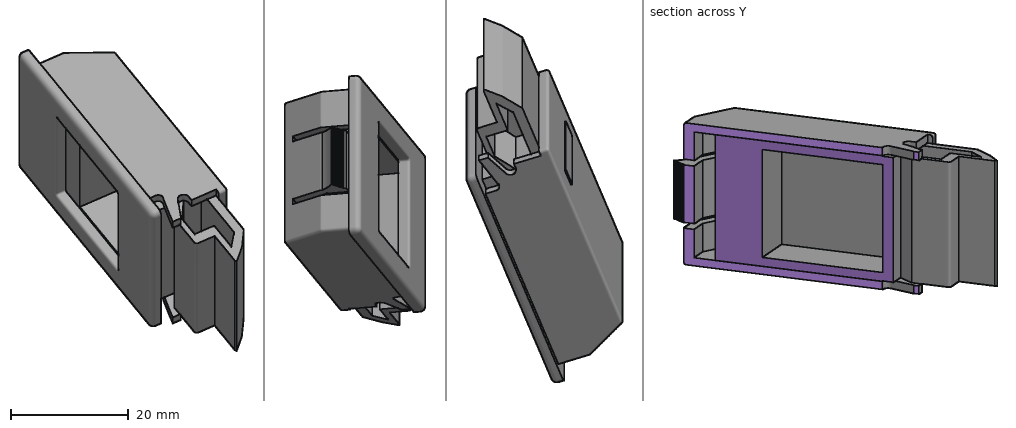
import cadquery as cq
import math


total_length = 58.45
total_depth = 15.4

plate_length = 44.45
plate_height = 28.35
plate_thickness = 2.0
plate_round = 1.0

window_left = 12.8
window_right = 33.2
window_height = 19.3
window_corner_radius = 0.35
window_rim_round = 0.45

box_left = 2.7
box_height = 25.25
box_back = 15.15
box_edge_round = 0.5
slope_start_y = 7.6
slope_angle = 60.0
end_wall = 2.0
back_wall = 1.75

label_left = 33.2
label_length = 3.15
label_height = 15.2

finger_width = 10.3
finger_slot = 0.95
finger_bottom = 3.15
barb_tip_x = 0.25
barb_tip_y = 5.15
barb_tip_flat = 0.25
barb_hollow = 0.2
barb_serrations = 10
barb_top_y = 7.35
barb_root_y = 3.45

cheek_end = 43.5
relief_radius = 1.0
slot_left = 39.45
slot_center_y = 3.8
notch_center_x = 42.55
notch_center_y = 7.55
prong_end = 46.2
prong_low_y = 3.2
prong_lower_angle = 14.3
prong_upper_angle = 23.9

bolt_height = 22.2
bolt_left = 8.5
bolt_front = 2.1
foot_length = 1.0
foot_top = barb_root_y
pull_left = 17.3
pull_height = 19.05
pull_right = slot_left
bolt_end_wall = 2.0
leaf = 1.75
nose_web = 2.0
nose_slope_x = 52.7
nose_knee_x = 56.1
nose_knee_y = 11.0
nose_low_y = 8.35
nose_edge = 0.2
nose_edge_length = 0.35
step_x = 51.45
step_wall = 2.1
step_low_y = 4.6
step_leaf = 1.05
step_round = 0.5
nose_leaf = 1.15
nose_pocket_slope_x = 52.4
nose_pocket_tip_x = 55.1
brace_foot_x = 45.15
brace_outer_x = 44.3
brace_angle = 34.2

cavity_back = box_back - back_wall
slope_run = 1 / math.tan(math.radians(slope_angle))
slope_end_x = box_left + (box_back - slope_start_y) * slope_run
bolt_end = pull_right + bolt_end_wall
cheek_thickness = (box_height - bolt_height) / 2


def prism(points, height):
    """Straight-sided outline in XY, extruded evenly about z = 0."""
    return cq.Workplane("XY").polyline(points).close().extrude(height / 2, both=True)


def block(x_range, y_range, height):
    """Rectangular block, centred on z = 0."""
    (x0, x1), (y0, y1) = x_range, y_range
    return prism([(x0, y0), (x1, y0), (x1, y1), (x0, y1)], height)


def polar(center, radius, angle):
    """Point on a circle, angle in degrees from +X."""
    turn = math.radians(angle)
    return (center[0] + radius * math.cos(turn), center[1] + radius * math.sin(turn))


def front_plate():
    plate = block((0, plate_length), (0, plate_thickness), plate_height)
    return plate.edges("|Y or <Y").fillet(plate_round)


def outer_box():
    box = prism(
        [
            (box_left, plate_thickness),
            (plate_length, plate_thickness),
            (plate_length, box_back),
            (slope_end_x, box_back),
            (box_left, slope_start_y),
        ],
        box_height,
    )
    return box.edges("not <Y").fillet(box_edge_round)


def cavity():
    """Bolt space: the end wall and its slope keep one thickness, measured square to each face."""
    slope_shift = end_wall / math.sin(math.radians(slope_angle))
    inner_left = box_left + end_wall
    inner_slope_end_x = box_left + slope_shift + (cavity_back - slope_start_y) * slope_run
    inner_slope_start_y = slope_start_y + (end_wall - slope_shift) / slope_run
    return prism(
        [
            (inner_left, plate_thickness),
            (slot_left, plate_thickness),
            (slot_left, cavity_back),
            (inner_slope_end_x, cavity_back),
            (inner_left, inner_slope_start_y),
        ],
        bolt_height,
    )


def open_end():
    """Everything between plate and back wall to the right of the cheeks' root."""
    return block((slot_left, plate_length), (plate_thickness, cavity_back), box_height)


def cheeks():
    """Two side cheeks, each with a rounded notch above and a rounded slot below a springy prong."""
    slot_center = (slot_left + relief_radius, slot_center_y)
    notch_center = (notch_center_x, notch_center_y)
    slot_tangent_angle = 90 - prong_lower_angle
    slot_exit = polar(slot_center, relief_radius, slot_tangent_angle)
    slot_middle = polar(slot_center, relief_radius, (180 + slot_tangent_angle) / 2)
    prong_root_y = prong_low_y + (prong_end - slot_exit[0]) * math.tan(math.radians(prong_lower_angle))
    slot_exit = (slot_exit[0], prong_root_y)
    notch_tangent_angle = 270 - prong_upper_angle
    notch_exit = polar(notch_center, relief_radius, notch_tangent_angle)
    notch_middle = polar(notch_center, relief_radius, (90 + notch_tangent_angle) / 2)
    notch_top_y = notch_center_y + relief_radius
    prong_top_y = notch_exit[1] - (prong_end - notch_exit[0]) * math.tan(math.radians(prong_upper_angle))
    cheek = (
        cq.Workplane("XY")
        .workplane(offset=bolt_height / 2)
        .moveTo(slot_left, slot_center_y)
        .threePointArc(slot_middle, slot_exit)
        .lineTo(prong_end, prong_low_y)
        .lineTo(prong_end, prong_top_y)
        .lineTo(*notch_exit)
        .threePointArc(notch_middle, (notch_center_x, notch_top_y))
        .lineTo(cheek_end, notch_top_y)
        .lineTo(cheek_end, cavity_back)
        .lineTo(slot_left, cavity_back)
        .close()
        .extrude(cheek_thickness)
    )
    return cheek.union(cheek.mirror("XY"))


def window():
    opening = block((window_left, window_right), (0, plate_thickness), window_height)
    return opening.edges("|Y").fillet(window_corner_radius)


def label_pad():
    label = (label_left, label_left + label_length)
    return block(label, (box_back, total_depth), label_height)


def finger_cut():
    """Two slots through the sloped end wall and a gap below, which free the snap finger."""
    reach = (barb_tip_x, bolt_left)
    outer_width = finger_width + 2 * finger_slot
    around = block(reach, (plate_thickness, cavity_back), outer_width)
    finger = block(reach, (finger_bottom, cavity_back), finger_width)
    return around.cut(finger)


def barb():
    """Blunt catch on the snap finger: hollow-curved on its back side, finely stepped on its front side."""
    step_run = (box_left - barb_tip_x) / barb_serrations
    step_drop = (barb_tip_y - barb_tip_flat - barb_root_y) / barb_serrations
    outline = cq.Workplane("XY").moveTo(barb_tip_x, barb_tip_y).line(0, -barb_tip_flat)
    for _ in range(barb_serrations):
        outline = outline.line(step_run, 0).line(0, -step_drop)
    outline = outline.lineTo(box_left, barb_top_y).sagittaArc((barb_tip_x, barb_tip_y), barb_hollow)
    return outline.close().extrude(finger_width / 2, both=True)


def make_housing():
    """Plate with a rounded window rim, joined to the hollow box and its details."""
    plate = front_plate().cut(window())
    half_height = window_height / 2
    margin = 0.05
    rim = cq.selectors.BoxSelector(
        (window_left - margin, -margin, -half_height - margin),
        (window_right + margin, margin, half_height + margin),
        boundingbox=True,
    )
    plate = plate.edges(rim).fillet(window_rim_round)
    shell = outer_box().cut(cavity()).cut(open_end()).cut(finger_cut())
    return plate.union(shell).union(cheeks()).union(barb()).union(label_pad())


def bolt_body():
    """Block with a foot at its left end and a finger pull open to the front."""
    body = block((bolt_left, bolt_end), (bolt_front, cavity_back), bolt_height)
    foot = block((bolt_left - foot_length, bolt_left), (bolt_front, foot_top), bolt_height)
    pull = block((pull_left, pull_right), (bolt_front, cavity_back - leaf), pull_height)
    return body.union(foot).cut(pull)


def bolt_nose():
    """Bevelled nose with a step and a slanted brace, hollowed from both sides down to a middle web."""
    brace_slope = math.tan(math.radians(brace_angle))
    pocket_low_y = step_low_y + step_leaf
    pocket_mid_y = nose_low_y + nose_leaf
    nose = prism(
        [
            (bolt_end, cavity_back),
            (nose_slope_x, cavity_back),
            (nose_knee_x, nose_knee_y),
            (total_length, nose_low_y + nose_edge),
            (total_length - nose_edge_length, nose_low_y),
            (step_x, nose_low_y),
            (step_x, step_low_y),
            (brace_outer_x, step_low_y),
            (bolt_end, step_low_y + (brace_outer_x - bolt_end) * brace_slope),
        ],
        bolt_height,
    )
    step_corner = cq.selectors.NearestToPointSelector((step_x, step_low_y, 0))
    nose = nose.edges(step_corner).fillet(step_round)
    pocket_points = [
        (bolt_end, cavity_back - leaf),
        (nose_pocket_slope_x, cavity_back - leaf),
        (nose_pocket_tip_x, pocket_mid_y),
        (step_x - step_wall, pocket_mid_y),
        (step_x - step_wall, pocket_low_y),
        (brace_foot_x, pocket_low_y),
        (bolt_end, pocket_low_y + (brace_foot_x - bolt_end) * brace_slope),
    ]
    web = prism(pocket_points, nose_web)
    return nose.cut(prism(pocket_points, bolt_height)).union(web)


def make_bolt():
    return bolt_body().union(bolt_nose())


housing = make_housing()
bolt = make_bolt()
result = cq.Compound.makeCompound([housing.solids().val(), bolt.solids().val()])